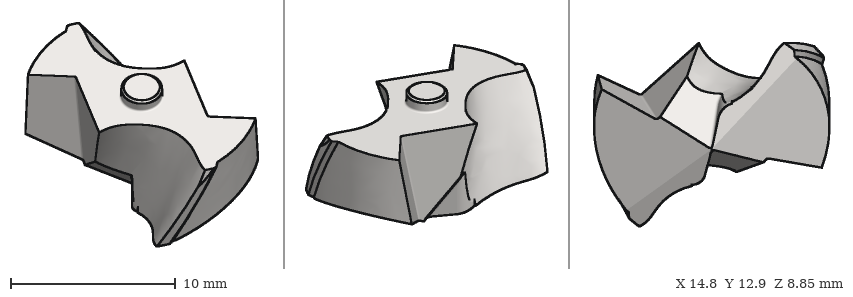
import cadquery as cq
import math



def polar(radius, degrees):
    angle = math.radians(degrees)
    return (radius * math.cos(angle), radius * math.sin(angle))


tip_depth = 8.02
margin_radius = 7.4
relief_radius = 7.13
blank_depth = 8.88
twist_rate = 4.561
reach = 22.2

flute_edge_angle = 15.1
margin_end = 20.7
relief_start = 23.2
relief_end = 112.0

flute_points = [
    (2.96, -4.59),
    (2.1, -3.32),
    (1.9, -2.25),
    (2.09, -1.12),
    (3.25, 0.87),
    (5.15, 1.69),
    (6.36, 1.75),
    polar(margin_radius, flute_edge_angle),
]

notch_top = (2.75, 3.35)
notch_corner_bottom = (1.55, 3.23)
notch_depth = 6.25
notch_wall_top = (3.76, 6.1)
notch_fillet = 0.15

lip_rise = 0.361
clearance_rise = 0.388
land_rise = 0.07

gash_rise_x = 1.13
gash_rise_y = 0.966
gash_wall_end = (1.58, -1.07)
gash_round_end = (2.7, -1.07)
gash_fillet = 0.22

trim_x = 6.99
trim_slope = 0.29
trim_depth = 1.78

stud_radius = 1.25
stud_height = 0.83
stud_chamfer = 0.15
stud_fillet = 0.13


def half_turn(point):
    return (-point[0], -point[1])


def both_lips(cutter):
    """Return the cutter together with its copy half a turn away."""
    return [cutter, cutter.rotate((0, 0, 0), (0, 0, 1), 180)]


def below_point_plane(rise_x, rise_y):
    """Block filling the space below a sloping plane through the point."""
    plane = cq.Plane(origin=(0, 0, -tip_depth), xDir=(1, 0, rise_x), normal=(-rise_x, -rise_y, 1))
    return cq.Workplane(plane).rect(2 * reach, 2 * reach).extrude(-reach)


def twisted_blank():
    """Body with two helical flutes, margins and relieved lands."""
    def lip_outline(sketch, place):
        relief_middle = (relief_start + relief_end) / 2
        margin_middle = (flute_edge_angle + margin_end) / 2
        sketch = sketch.spline([place(p) for p in flute_points[1:]], includeCurrent=True)
        sketch = sketch.threePointArc(
            place(polar(margin_radius, margin_middle)), place(polar(margin_radius, margin_end)))
        sketch = sketch.lineTo(*place(polar(relief_radius, relief_start)))
        return sketch.threePointArc(
            place(polar(relief_radius, relief_middle)), place(polar(relief_radius, relief_end)))

    outline = cq.Workplane("XY").moveTo(*flute_points[0])
    outline = lip_outline(outline, lambda point: point)
    outline = outline.lineTo(*half_turn(flute_points[0]))
    outline = lip_outline(outline, half_turn).close()
    twist = twist_rate * blank_depth
    blank = outline.twistExtrude(blank_depth, twist)
    return blank.rotate((0, 0, 0), (0, 0, 1), -twist).translate((0, 0, -blank_depth))


def notch_cutter():
    """Wedge between the flat side of the core and the sloping back of a lip."""
    corner = cq.Vector(*notch_top, 0)
    corner_low = cq.Vector(*notch_corner_bottom, -notch_depth)
    wall_direction = cq.Vector(*notch_wall_top, 0) - corner
    axis = (corner - corner_low).normalized()
    wall_along = wall_direction.normalized() * reach
    start = corner - axis * reach
    profile = cq.Wire.makePolygon(
        [start, start + wall_along, start + cq.Vector(-reach, 0, 0)], close=True)
    wedge = cq.Solid.extrudeLinear(profile, [], axis * (2 * reach))
    corner_edge = cq.Workplane(obj=wedge).edges(cq.selectors.ParallelDirSelector(axis))
    corner_edge = corner_edge.edges(cq.selectors.NearestToPointSelector(corner.toTuple()))
    return corner_edge.fillet(notch_fillet)


def gash_cutter():
    """Space under the sloping gash floor, bounded by the upright lip wall."""
    prism = (
        cq.Workplane("XY", origin=(0, 0, -reach))
        .moveTo(0, 0)
        .lineTo(*gash_wall_end)
        .tangentArcPoint(gash_round_end, relative=False)
        .lineTo(reach, -reach)
        .lineTo(-reach, -reach)
        .lineTo(-reach, 0)
        .close()
        .extrude(2 * reach)
    )
    gash = prism.intersect(below_point_plane(gash_rise_x, -gash_rise_y))
    wall_middle_x = gash_wall_end[0] / 2
    wall_middle_y = gash_wall_end[1] / 2
    rise = gash_rise_x * wall_middle_x - gash_rise_y * wall_middle_y
    root = cq.selectors.NearestToPointSelector((wall_middle_x, wall_middle_y, rise - tip_depth))
    return gash.edges(root).fillet(gash_fillet)


def margin_trim_cutter():
    """Wedge outside a leaning flat at the top of a margin."""
    return (
        cq.Workplane("XZ")
        .moveTo(trim_x, 0)
        .lineTo(trim_x + trim_slope * trim_depth, -trim_depth)
        .lineTo(reach, -trim_depth)
        .lineTo(reach, 0)
        .close()
        .extrude(reach, both=True)
    )


def stud():
    """Chamfered stud with a concave fillet where it meets the seating face."""
    return (
        cq.Workplane("XZ")
        .moveTo(0, -stud_fillet)
        .lineTo(stud_radius + stud_fillet, -stud_fillet)
        .lineTo(stud_radius + stud_fillet, 0)
        .radiusArc((stud_radius, stud_fillet), stud_fillet)
        .lineTo(stud_radius, stud_height - stud_chamfer)
        .lineTo(stud_radius - stud_chamfer, stud_height)
        .lineTo(0, stud_height)
        .close()
        .revolve(360, (0, 0, 0), (0, 1, 0))
    )


cutters = [
    below_point_plane(lip_rise, clearance_rise),
    below_point_plane(lip_rise, land_rise),
    notch_cutter(),
    gash_cutter(),
    margin_trim_cutter(),
]

head = twisted_blank()
for lip_cutter in cutters:
    for placed_cutter in both_lips(lip_cutter):
        head = head.cut(placed_cutter)

result = head.union(stud())